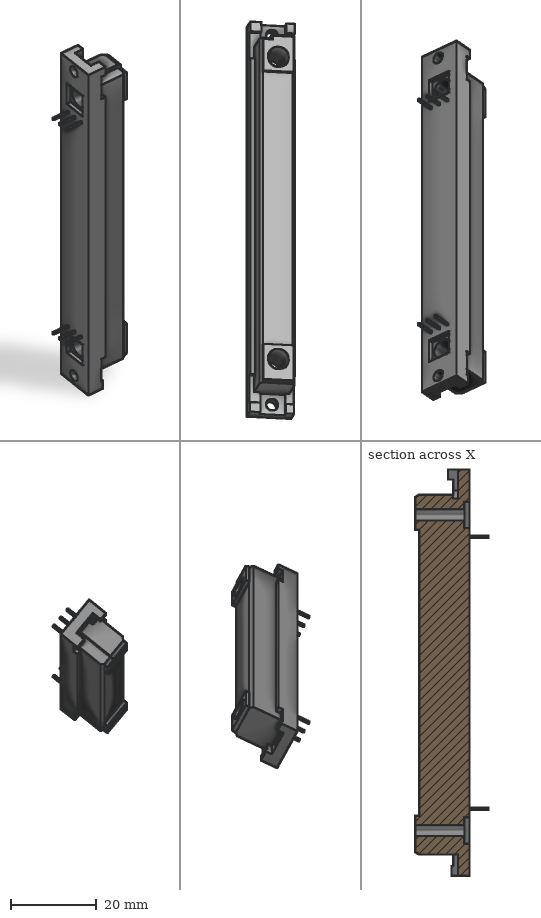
import cadquery as cq


LENGTH = 94.9
WIDTH = 10.5
FLANGE_THICKNESS = 5.05
LOWER_LIP_HEIGHT = 4.25
NOTCH_HEIGHT = 3.8
NOTCH_INNER_Z = 38.5
NOTCH_OUTER_Z = 45.1
CHANNEL_FLOOR = 2.7
CHANNEL_WIDTH = 6.0
ROW_OFFSET = -0.3

BODY_LENGTH = 85.0
BODY_WIDTH = 8.3
BODY_TOP = 11.75
BODY_CHAMFER = 0.7

KEY_WIDTH = 3.2
KEY_EDGE_X = ROW_OFFSET + KEY_WIDTH / 2
STEP_DEPTH = 0.9
STEP_Z = BODY_LENGTH / 2 - STEP_DEPTH

PAD_TOP = 12.7
PAD_WIDTH = 7.15
PAD_INNER_Z = 33.35
PAD_EDGE_X = PAD_WIDTH / 2
PAD_SLOPE_LENGTH = 0.6

MOUNT_HOLE_DIAMETER = 2.8
MOUNT_HOLE_Z = 45.0
WINDOW_Z = 36.85
WINDOW_SIDE = 6.1
WINDOW_DEPTH = 1.2
WINDOW_HOLE_DIAMETER = 4.9

TOTAL_DEPTH = 17.1
PIN_DIAMETER = 0.6
PIN_PITCH = 2.5
PIN_Z = 31.75
PIN_LENGTH = TOTAL_DEPTH - PAD_TOP
PIN_EMBED = 1.0

UPPER = 1
LOWER = -1
ENDS = (UPPER, LOWER)
SIDES = (-1, 1)
COLUMNS = (-1, 0, 1)

FLANGE_X = (-WIDTH / 2, WIDTH / 2)
CHANNEL_X = (ROW_OFFSET - CHANNEL_WIDTH / 2, ROW_OFFSET + CHANNEL_WIDTH / 2)
BODY_END_Z = BODY_LENGTH / 2
FLANGE_END_Z = LENGTH / 2


def end_block(end, x_range, y_range, z_range):
    """Box at one end of the strip; z_range is the distance from mid-length."""
    z_low, z_high = sorted(end * z for z in z_range)
    size = (x_range[1] - x_range[0], y_range[1] - y_range[0], z_high - z_low)
    return cq.Workplane("XY").box(*size, centered=False).translate((x_range[0], y_range[0], z_low))


def cylinder_along_y(diameter, x, z, y_range):
    """Round bar parallel to Y."""
    start = cq.Vector(x, y_range[0], z)
    solid = cq.Solid.makeCylinder(diameter / 2, y_range[1] - y_range[0], start, cq.Vector(0, 1, 0))
    return cq.Workplane(solid)


def make_flange():
    """Board-side bar with side notches and a channel through each end lip."""
    flange = cq.Workplane("XY").box(WIDTH, FLANGE_THICKNESS, LENGTH, centered=(True, False, True))
    for end in ENDS:
        notch = end_block(end, FLANGE_X, (NOTCH_HEIGHT, FLANGE_THICKNESS), (NOTCH_INNER_Z, NOTCH_OUTER_Z))
        channel = end_block(end, CHANNEL_X, (CHANNEL_FLOOR, FLANGE_THICKNESS), (BODY_END_Z, FLANGE_END_Z))
        flange = flange.cut(notch).cut(channel)
    lip_top = end_block(LOWER, FLANGE_X, (LOWER_LIP_HEIGHT, FLANGE_THICKNESS), (NOTCH_OUTER_Z, FLANGE_END_Z))
    return flange.cut(lip_top)


def make_body():
    """Long socket block with its two outer long (+Y) edges chamfered."""
    body = cq.Workplane("XY").box(BODY_WIDTH, BODY_TOP - CHANNEL_FLOOR, BODY_LENGTH, centered=(True, False, True))
    return body.translate((0, CHANNEL_FLOOR, 0)).edges("|Z and >Y").chamfer(BODY_CHAMFER)


def make_pad(end, x_range, outer_z):
    """Raised pad on the body top, with a sloped outer end."""
    profile = [
        (BODY_TOP, PAD_INNER_Z),
        (PAD_TOP, PAD_INNER_Z),
        (PAD_TOP, outer_z - PAD_SLOPE_LENGTH),
        (BODY_TOP, outer_z),
    ]
    points = [(y, end * z) for y, z in profile]
    pad = cq.Workplane("YZ").polyline(points).close().extrude(x_range[1] - x_range[0])
    return pad.translate((x_range[0], 0, 0))


def make_body_step():
    """Cutter that sets back the +X part of the upper body end."""
    return end_block(UPPER, (KEY_EDGE_X, WIDTH / 2), (NOTCH_HEIGHT, BODY_TOP), (STEP_Z, BODY_END_Z))


def make_ramp_pocket(side):
    """Wedge cutter beside the key, deepest against the key and rising outward."""
    key_x = ROW_OFFSET + side * KEY_WIDTH / 2
    outer_x = ROW_OFFSET + side * CHANNEL_WIDTH / 2
    points = [(key_x, BODY_END_Z), (outer_x, BODY_END_Z), (key_x, NOTCH_INNER_Z)]
    wedge = cq.Workplane("XZ").polyline(points).close().extrude(CHANNEL_FLOOR - NOTCH_HEIGHT)
    return wedge.translate((0, CHANNEL_FLOOR, 0))


def make_openings(end):
    """Mounting hole, and a square window leading into a round through hole."""
    half = WINDOW_SIDE / 2
    mount = cylinder_along_y(MOUNT_HOLE_DIAMETER, ROW_OFFSET, end * MOUNT_HOLE_Z, (0, FLANGE_THICKNESS))
    hole = cylinder_along_y(WINDOW_HOLE_DIAMETER, 0, end * WINDOW_Z, (0, PAD_TOP))
    window = end_block(end, (-half, half), (0, WINDOW_DEPTH), (WINDOW_Z - half, WINDOW_Z + half))
    return (mount, hole, window)


def make_pins(end):
    """Row of three round terminal pins on the board face."""
    pins = cq.Workplane("XY")
    for column in COLUMNS:
        pins = pins.union(
            cylinder_along_y(PIN_DIAMETER, column * PIN_PITCH, end * PIN_Z, (-PIN_LENGTH, PIN_EMBED))
        )
    return pins


result = make_flange().union(make_body()).cut(make_body_step())
result = result.union(make_pad(UPPER, (-PAD_EDGE_X, KEY_EDGE_X), BODY_END_Z))
result = result.union(make_pad(UPPER, (KEY_EDGE_X, PAD_EDGE_X), STEP_Z))
result = result.union(make_pad(LOWER, (-PAD_EDGE_X, PAD_EDGE_X), BODY_END_Z))
for side in SIDES:
    result = result.cut(make_ramp_pocket(side))
for end in ENDS:
    for opening in make_openings(end):
        result = result.cut(opening)
    result = result.union(make_pins(end))